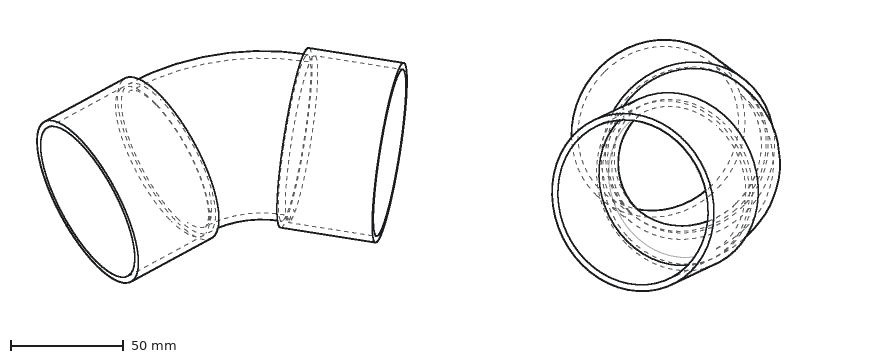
import cadquery as cq
import math

socket_diameter = 81.0
socket_bore = 75.0
socket_length = 43.1
bend_diameter = 75.0
bend_bore = 68.9
bend_radius = 74.7
bend_angle = 45

lip_radius = (socket_bore - bend_bore) / 2

angle = math.radians(bend_angle)
bend_end = (bend_radius * (1 - math.cos(angle)), bend_radius * math.sin(angle), 0)
end_direction = (math.sin(angle), math.cos(angle), 0)
start_direction = (0, -1, 0)


def swept_bend(diameter):
    """Solid round bar following the bend."""
    return (
        cq.Workplane("XZ")
        .circle(diameter / 2)
        .revolve(bend_angle, (bend_radius, 1.5, 0), (bend_radius, 0, 0))
    )


def socket(origin, direction):
    """Bored socket, revolved about its axis, with a rounded stop ring next to the bend."""
    radial = cq.Vector(0, 0, 1)
    plane = cq.Plane(origin=origin, xDir=radial, normal=radial.cross(cq.Vector(*direction)))
    arc_offset = math.sqrt(0.5) * lip_radius
    return (
        cq.Workplane(plane)
        .moveTo(bend_bore / 2, 0)
        .lineTo(socket_diameter / 2, 0)
        .lineTo(socket_diameter / 2, socket_length)
        .lineTo(socket_bore / 2, socket_length)
        .lineTo(socket_bore / 2, lip_radius)
        .threePointArc((socket_bore / 2 - arc_offset, arc_offset), (bend_bore / 2, 0))
        .close()
        .revolve(360, (0, 0), (0, 1))
    )


result = (
    swept_bend(bend_diameter)
    .cut(swept_bend(bend_bore))
    .union(socket((0, 0, 0), start_direction))
    .union(socket(bend_end, end_direction))
)